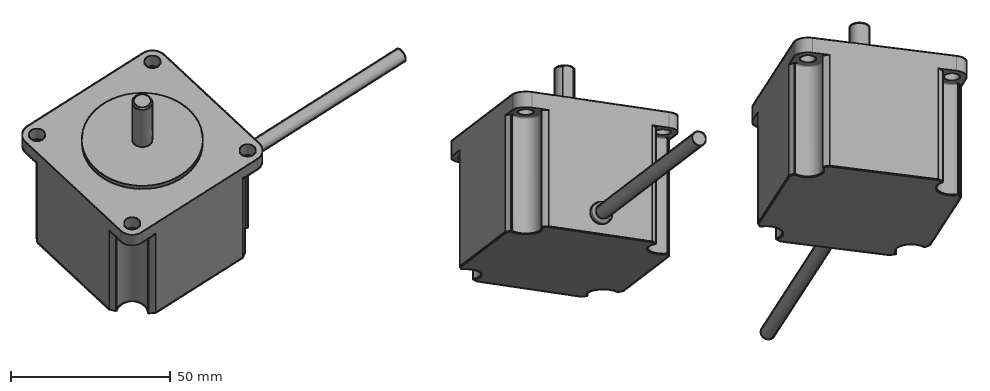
import cadquery as cq
import math

total_length = 133.5
total_height = 64.6
body_width = 56.3
half_width = body_width / 2

flange_top = 44.2
flange_thickness = 5.2
flange_bottom = flange_top - flange_thickness
hole_inset = 4.7
hole_diameter = 5.1
hole_offset = half_width - hole_inset

bevel_along_face = 1.9
bevel_depth = 1.2
ledge_width = 0.4
flute_inset = 8.5
flute_center_inset = 4.5
base_chamfer = 0.3
flute_top_fillet = 0.3

pilot_diameter = 38.0
pilot_height = 1.6
shaft_diameter = 6.4
shaft_chamfer = 0.5
shaft_flat_depth = 0.5
shaft_flat_start = 49.8

cable_height = 7.0
cable_diameter = 4.7
gland_diameter = 7.1
gland_length = 1.9
gland_fillet = 0.7


def make_flange():
    """Square plate with rounded corners concentric with the screw holes."""
    return (
        cq.Workplane("XY", origin=(0, 0, flange_bottom))
        .rect(body_width, body_width)
        .extrude(flange_thickness)
        .edges("|Z")
        .fillet(hole_inset)
        .faces(">Z")
        .workplane(origin=(0, 0, flange_top))
        .rect(2 * hole_offset, 2 * hole_offset, forConstruction=True)
        .vertices()
        .hole(hole_diameter)
    )


def make_corner_cutter():
    """Waste at the -X -Y corner: bevels and ledges on both sides of a concave arc."""
    face_end = flute_inset + bevel_along_face
    flute_start = bevel_depth + ledge_width
    flute_radius = math.hypot(flute_inset - flute_center_inset, flute_center_inset - flute_start)
    deepest = flute_center_inset + flute_radius / math.sqrt(2)
    return (
        cq.Workplane("XY", origin=(-half_width, -half_width, 0))
        .lineTo(face_end, 0)
        .lineTo(flute_inset, bevel_depth)
        .lineTo(flute_inset, flute_start)
        .threePointArc((deepest, deepest), (flute_start, flute_inset))
        .lineTo(bevel_depth, flute_inset)
        .lineTo(0, face_end)
        .close()
        .extrude(flange_bottom)
    )


def make_body():
    """Square block with fluted corners and a chamfered base."""
    body = cq.Workplane("XY").rect(body_width, body_width).extrude(flange_bottom)
    cutter = make_corner_cutter()
    for corner in range(4):
        body = body.cut(cutter.rotate((0, 0, 0), (0, 0, 1), 90 * corner))
    return body.faces("<Z").chamfer(base_chamfer)


def make_pilot():
    return cq.Workplane("XY", origin=(0, 0, flange_top)).circle(pilot_diameter / 2).extrude(pilot_height)


def make_shaft():
    """Round shaft with a chamfered tip and a flat facing +Y."""
    shaft = (
        cq.Workplane("XY", origin=(0, 0, flange_top))
        .circle(shaft_diameter / 2)
        .extrude(total_height - flange_top)
        .faces(">Z")
        .chamfer(shaft_chamfer)
    )
    flat_y = shaft_diameter / 2 - shaft_flat_depth
    flat_cutter = cq.Workplane("XY").box(
        shaft_diameter, shaft_diameter, total_height - shaft_flat_start, centered=(True, False, False)
    )
    return shaft.cut(flat_cutter.translate((0, flat_y, shaft_flat_start)))


def make_cable():
    """Round cable along +Y, leaving the body through a gland with a rounded rim."""
    back_face = cq.Workplane("XZ", origin=(0, half_width, cable_height))
    cable_length = total_length - body_width
    gland = back_face.circle(gland_diameter / 2).extrude(-gland_length).faces(">Y").fillet(gland_fillet)
    cable = back_face.circle(cable_diameter / 2).extrude(-cable_length)
    return gland.union(cable)


def make_housing():
    """Body and flange in one piece, with a small fillet where each flute runs into the flange.

    At the underside of the flange the flute arcs are the circular edges of largest radius.
    """
    underside_slab = cq.selectors.BoxSelector(
        (-half_width, -half_width, flange_bottom - flute_top_fillet),
        (half_width, half_width, flange_bottom + flute_top_fillet),
    )
    housing = make_flange().union(make_body())
    underside_arcs = housing.edges(underside_slab).edges("%CIRCLE")
    return underside_arcs.edges(cq.selectors.RadiusNthSelector(-1)).fillet(flute_top_fillet)


result = make_housing().union(make_pilot()).union(make_shaft()).union(make_cable())